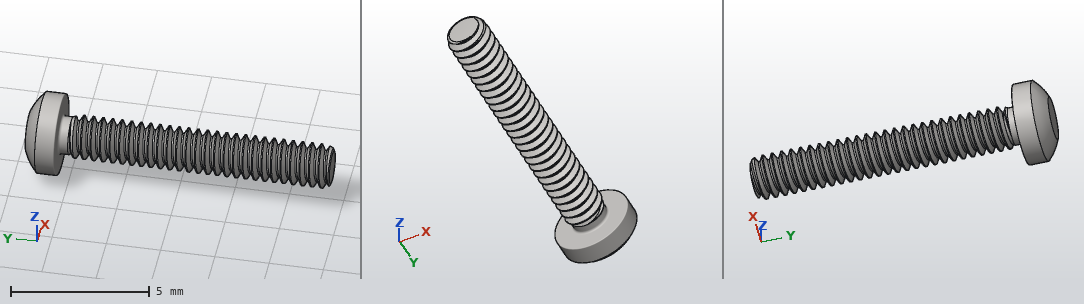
import cadquery as cq
import math

overall_length = 11.2
head_height = 1.2
shank_length = overall_length - head_height

head_radius = 1.5
dome_height = 0.48
top_flat_radius = 0.8
head_edge_round = 0.03

pitches_per_length = 32
pitch = overall_length / pitches_per_length
major_radius = 1.6 / 2
root_radius = 1.18 / 2
flank_angle = math.radians(30)
crest_width = pitch / 8

neck_radius = 0.7
neck_length = pitch
neck_fillet = 0.09
neck_run_out = 0.17

lead_in_length = 0.22
tip_bulge = 0.02
tip_face_radius = 0.6
tip_bevel_height = 0.03

ridge_embed = 0.01
ridge_turns = math.ceil(shank_length / pitch) + 1
trim_clearance = 0.22

FULL_TURN = 360


def revolve_about_z(profile):
    """Full turn of a closed XZ outline about the Z axis."""
    return profile.revolve(FULL_TURN, (0, 0, 0), (0, 1, 0))


def make_head():
    """Pan head with its dome below z = 0."""
    rim_z = dome_height - head_height
    centre_height = (head_radius**2 - top_flat_radius**2 + dome_height**2) / (2 * dome_height)
    sphere_radius = math.hypot(top_flat_radius, centre_height)
    mid_height = dome_height / 2
    mid_radius = math.sqrt(sphere_radius**2 - (centre_height - mid_height) ** 2)
    profile = (
        cq.Workplane("XZ")
        .lineTo(head_radius, 0)
        .lineTo(head_radius, rim_z)
        .threePointArc((mid_radius, mid_height - head_height), (top_flat_radius, -head_height))
        .lineTo(0, -head_height)
        .close()
    )
    return revolve_about_z(profile).faces(">Z").edges().fillet(head_edge_round)


def make_core():
    """Filleted neck that tapers to a cylinder at the thread root."""
    fillet_mid = neck_fillet * (1 - math.sqrt(0.5))
    profile = (
        cq.Workplane("XZ")
        .lineTo(neck_radius + neck_fillet, 0)
        .threePointArc((neck_radius + fillet_mid, fillet_mid), (neck_radius, neck_fillet))
        .lineTo(neck_radius, neck_length)
        .lineTo(root_radius, neck_length + neck_run_out)
        .lineTo(root_radius, shank_length)
        .lineTo(0, shank_length)
        .close()
    )
    return revolve_about_z(profile)


def make_ridge():
    """Right-handed helical ridge that runs past both ends of the thread."""
    inner_radius = root_radius - ridge_embed
    crest_half = crest_width / 2
    base_half = crest_half + (major_radius - inner_radius) * math.tan(flank_angle)
    section = [
        (inner_radius, -base_half),
        (major_radius, -crest_half),
        (major_radius, crest_half),
        (inner_radius, base_half),
    ]
    helices = [cq.Wire.makeHelix(pitch, pitch, r).translate(cq.Vector(0, 0, z)) for r, z in section]
    strips = [cq.Face.makeRuledSurface(helices[i - 1], helices[i]) for i in range(len(helices))]
    start_cap = cq.Face.makeFromWires(cq.Workplane("XZ").polyline(section).close().wire().val())
    faces = [start_cap, start_cap.translate(cq.Vector(0, 0, ridge_turns * pitch))]
    for turn in range(ridge_turns):
        rise = cq.Vector(0, 0, turn * pitch)
        faces += [strip.translate(rise) for strip in strips]
    return cq.Workplane(obj=cq.Solid.makeSolid(cq.Shell.makeShell(faces)))


trim_radius = major_radius + trim_clearance
cone_length = lead_in_length * (trim_radius - neck_radius) / (major_radius - neck_radius)


def make_neck_trim():
    """Material to clear from the ridge at the head end of the thread."""
    below_ridge = -pitch
    profile = (
        cq.Workplane("XZ")
        .moveTo(0, below_ridge)
        .lineTo(trim_radius, below_ridge)
        .lineTo(trim_radius, neck_length + cone_length)
        .lineTo(neck_radius, neck_length)
        .lineTo(0, neck_length)
        .close()
    )
    return revolve_about_z(profile)


def make_tip_trim():
    """Material to clear around and beyond the slightly domed tip."""
    beyond_ridge = (ridge_turns + 1) * pitch
    face_edge_z = shank_length - tip_bulge
    cone_z = face_edge_z - tip_bevel_height
    dome_radius = (tip_face_radius**2 + tip_bulge**2) / (2 * tip_bulge)
    mid_radius = tip_face_radius / 2
    mid_z = shank_length - dome_radius + math.sqrt(dome_radius**2 - mid_radius**2)
    profile = (
        cq.Workplane("XZ")
        .moveTo(0, shank_length)
        .threePointArc((mid_radius, mid_z), (tip_face_radius, face_edge_z))
        .lineTo(neck_radius, cone_z)
        .lineTo(trim_radius, cone_z - cone_length)
        .lineTo(trim_radius, beyond_ridge)
        .lineTo(0, beyond_ridge)
        .close()
    )
    return revolve_about_z(profile)


tip_trim = make_tip_trim()
thread = make_ridge().cut(make_neck_trim()).cut(tip_trim)
core = make_core().cut(tip_trim)
screw = core.union(thread).union(make_head())
result = screw.rotate((0, 0, 0), (1, 0, 0), 90)